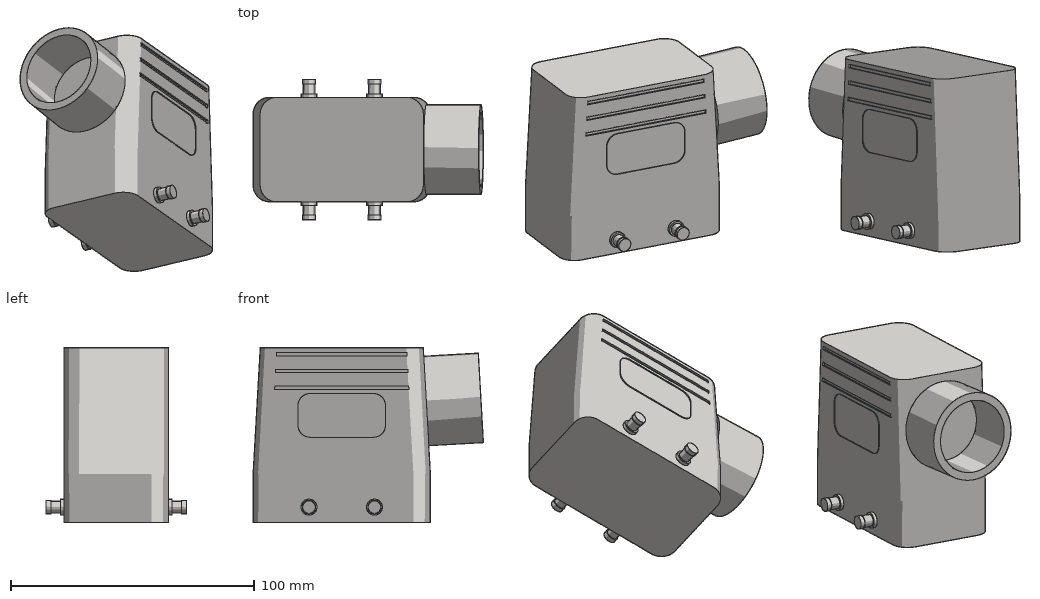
import cadquery as cq
import math

overall_length = 94.8
body_length = 73.0
body_width = 43.05
body_height = 72.0
skirt_height = 19.9
top_inset = 2.9
corner_radius = 6.9

collar_diameter = 37.0
collar_bore_diameter = 30.4
collar_mouth_height = 51.3

groove_count = 3
groove_width = 1.4
groove_depth = 0.8
groove_pitch = 6.9
first_groove_drop = 2.0

panel_length = 36.0
panel_height = 18.0
panel_radius = 5.0
panel_depth = 0.4
panel_center_height = 44.1

pin_span = 57.8
pin_spacing = 26.9
pin_height = 6.4
pin_shaft_diameter = 4.9
pin_flange_diameter = 6.5
pin_flange_thickness = 1.4
pin_head_diameter = 5.5
pin_head_thickness = 2.0

half_length = body_length / 2
half_width = body_width / 2
taper_height = body_height - skirt_height
taper_angle = math.atan2(top_inset, taper_height)
pin_length = pin_span / 2 - half_width


def half_length_at(height):
    """Half of the body length at a height on the tapered shell."""
    return half_length - (height - skirt_height) * math.tan(taper_angle)


def make_body():
    half_top = half_length_at(body_height)
    profile = [
        (-half_length, 0),
        (half_length, 0),
        (half_length, skirt_height),
        (half_top, body_height),
        (-half_top, body_height),
        (-half_length, skirt_height),
    ]
    block = cq.Workplane("XZ").polyline(profile).close().extrude(half_width, both=True)
    return block.edges("not(|X or |Y)").fillet(corner_radius)


def add_collar(body):
    mouth_x = overall_length - half_length - collar_diameter / 2 * math.sin(taper_angle)
    face_distance = mouth_x - half_length_at(collar_mouth_height)
    collar_length = face_distance * math.cos(taper_angle)
    mouth = cq.Plane(
        origin=(mouth_x, 0, collar_mouth_height),
        xDir=(0, 1, 0),
        normal=(math.cos(taper_angle), 0, math.sin(taper_angle)),
    )
    collar = cq.Workplane(mouth).circle(collar_diameter / 2).extrude(-collar_length)
    bore = cq.Workplane(mouth).circle(collar_bore_diameter / 2).extrude(-collar_length)
    return body.union(collar).cut(bore)


def make_grooves():
    """Grooves in the -Y side, ending where the flat side meets the round corners."""
    grooves = cq.Workplane("XY")
    for index in range(groove_count):
        upper = body_height - first_groove_drop - index * groove_pitch
        lower = upper - groove_width
        upper_half = half_length_at(upper) - corner_radius
        lower_half = half_length_at(lower) - corner_radius
        groove = (
            cq.Workplane("XZ", origin=(0, -half_width, 0))
            .polyline([
                (-lower_half, lower),
                (lower_half, lower),
                (upper_half, upper),
                (-upper_half, upper),
            ])
            .close()
            .extrude(-groove_depth)
        )
        grooves = grooves.add(groove)
    return grooves.combine()


def make_panel_recess():
    """Label recess in the -Y side."""
    outline = cq.Sketch().rect(panel_length, panel_height).vertices().fillet(panel_radius)
    plane = cq.Workplane("XZ", origin=(0, -half_width, panel_center_height))
    return plane.placeSketch(outline).extrude(-panel_depth)


def make_pins():
    """Pair of flanged, headed pins standing out from the -Y side."""
    centers = [(-pin_spacing / 2, pin_height), (pin_spacing / 2, pin_height)]
    side = cq.Workplane("XZ", origin=(0, -half_width, 0)).pushPoints(centers)
    tip = cq.Workplane("XZ", origin=(0, -pin_span / 2, 0)).pushPoints(centers)
    flanges = side.circle(pin_flange_diameter / 2).extrude(pin_flange_thickness)
    shafts = side.circle(pin_shaft_diameter / 2).extrude(pin_length)
    heads = tip.circle(pin_head_diameter / 2).extrude(-pin_head_thickness)
    return shafts.union(flanges).union(heads)


def on_both_sides(feature):
    """The feature together with its mirror image on the +Y side."""
    return feature.union(feature.mirror("XZ"))


result = add_collar(make_body())
result = result.cut(on_both_sides(make_grooves()))
result = result.cut(on_both_sides(make_panel_recess()))
result = result.union(on_both_sides(make_pins()))